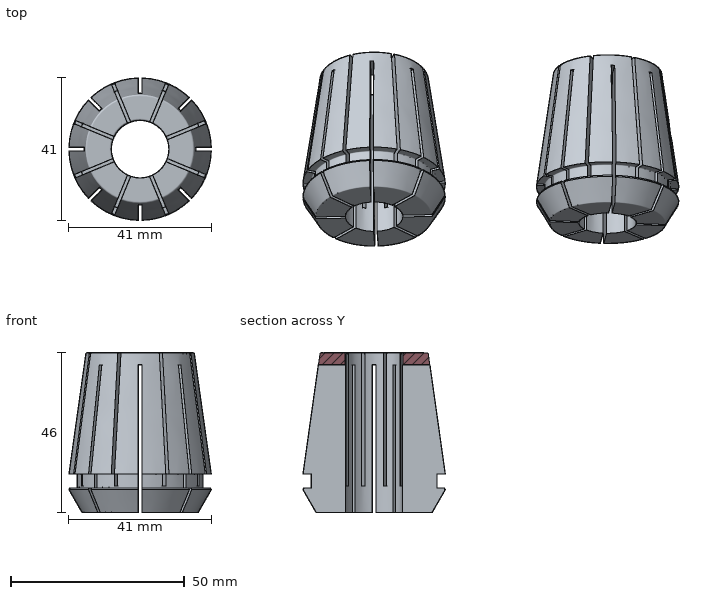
import cadquery as cq
import math

length = 46.0
max_radius = 20.5
bore_radius = 16.5 / 2

flange_angle = math.radians(30)
flange_rim_height = 6.6
flange_top_height = 7.1

groove_radius = 18.1
taper_base_height = 11.1

taper_angle = math.radians(8)

top_fillet = 0.5
groove_fillet = 0.2
nose_fillet = 0.3

tolerance = 0.001

slot_count = 8
slot_width = 1.0
bottom_slot_end = 42.5
top_slot_floor = 7.6

nose_radius = max_radius - flange_rim_height * math.tan(flange_angle)
flange_top_radius = max_radius - (flange_top_height - flange_rim_height) * math.tan(flange_angle)
top_radius = max_radius - (length - taper_base_height) * math.tan(taper_angle)


def round_circle(body, radius, height, fillet_radius):
    """Fillet the circular edge about Z that has the given radius and height."""

    def is_wanted(edge):
        if edge.geomType() != "CIRCLE":
            return False
        same_radius = abs(edge.radius() - radius) < tolerance
        same_height = abs(edge.Center().z - height) < tolerance
        return same_radius and same_height

    wanted_edges = [edge for edge in body.edges().vals() if is_wanted(edge)]
    return body.newObject(wanted_edges).fillet(fillet_radius)


def collet_body():
    """Revolve the half section of the sleeve about Z and round its edges."""
    sleeve = (
        cq.Workplane("XZ")
        .moveTo(bore_radius, 0)
        .lineTo(nose_radius, 0)
        .lineTo(max_radius, flange_rim_height)
        .lineTo(flange_top_radius, flange_top_height)
        .lineTo(groove_radius, flange_top_height)
        .lineTo(groove_radius, taper_base_height)
        .lineTo(max_radius, taper_base_height)
        .lineTo(top_radius, length)
        .lineTo(bore_radius, length)
        .close()
        .revolve(360, (0, 0, 0), (0, 1, 0))
    )
    sleeve = sleeve.faces(">Z").edges().fillet(top_fillet)
    sleeve = round_circle(sleeve, groove_radius, flange_top_height, groove_fillet)
    sleeve = round_circle(sleeve, groove_radius, taper_base_height, groove_fillet)
    return round_circle(sleeve, nose_radius, 0, nose_fillet)


def radial_slots(z_start, z_end, first_angle):
    """Evenly spaced radial slots, each reaching from the axis past the outside."""
    slots = cq.Workplane("XY")
    reach = 2 * max_radius
    for index in range(slot_count):
        slot = (
            cq.Workplane("XY", origin=(0, 0, z_start))
            .rect(reach, slot_width)
            .extrude(z_end - z_start)
            .translate((reach / 2, 0, 0))
            .rotate((0, 0, 0), (0, 0, 1), first_angle + index * 360 / slot_count)
        )
        slots = slots.union(slot)
    return slots


half_pitch = 180 / slot_count
bottom_slots = radial_slots(0, bottom_slot_end, 0)
top_slots = radial_slots(top_slot_floor, length, half_pitch)

result = collet_body().cut(bottom_slots).cut(top_slots)